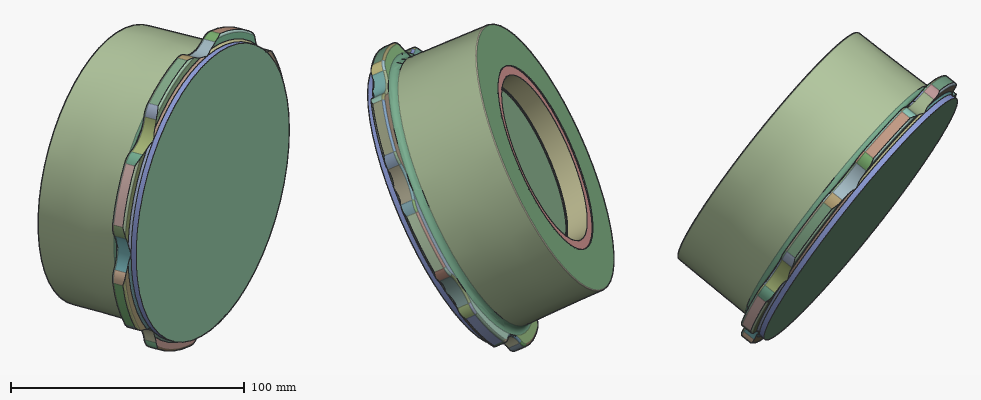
import cadquery as cq
import math

flange_front = 41.0
flange_back = 47.5
total_length = 51.0

body_front_radius = 62.0
body_draft = 0.9
body_edge_radius = 0.4
neck_fillet = 3.0
body_end = flange_front - neck_fillet
neck_start_radius = body_front_radius + body_end * math.tan(math.radians(body_draft))
neck_end_radius = neck_start_radius + neck_fillet

lobe_radius = 71.0
notch_floor_radius = 66.0
notch_arc_radius = 15.0
lobe_corner_radius = 8.0
notch_count = 8
grip_edge_radius = 1.0

rim_radius = notch_floor_radius
rim_fillet = 1.0

recess_radius = 77.0 / 2
recess_ledge_depth = 10.0
recess_rim_radius = 42.7
recess_floor_radius = 37.7
recess_step_depth = 0.5


def polar(radius, angle):
    """Point at a radius and an angle (radians) in the YZ plane."""
    return (radius * math.cos(angle), radius * math.sin(angle))


def grip_outline():
    """Lobed outline: notch arcs blended into the outer circle by rounded corners."""
    notch_centre = notch_floor_radius + notch_arc_radius
    corner_centre = lobe_radius - lobe_corner_radius
    centre_gap = notch_arc_radius + lobe_corner_radius
    corner_angle = math.acos(
        (notch_centre**2 + corner_centre**2 - centre_gap**2) / (2 * notch_centre * corner_centre)
    )
    corner_x, corner_y = polar(corner_centre, corner_angle)
    notch_share = notch_arc_radius / centre_gap
    blend_x = notch_centre + notch_share * (corner_x - notch_centre)
    blend_y = notch_share * corner_y
    blend_radius = math.hypot(blend_x, blend_y)
    blend_angle = math.atan2(blend_y, blend_x)
    inward_angle = math.atan2(blend_y - corner_y, blend_x - corner_x)
    middle_direction = (inward_angle + corner_angle) / 2
    middle_x = corner_x + lobe_corner_radius * math.cos(middle_direction)
    middle_y = corner_y + lobe_corner_radius * math.sin(middle_direction)
    middle_radius = math.hypot(middle_x, middle_y)
    middle_angle = math.atan2(middle_y, middle_x)

    pitch = 2 * math.pi / notch_count
    outline = cq.Workplane("YZ", origin=(flange_front, 0, 0)).moveTo(*polar(blend_radius, -blend_angle))
    for index in range(notch_count):
        notch = index * pitch
        following = notch + pitch
        outline = (
            outline.threePointArc(polar(notch_floor_radius, notch), polar(blend_radius, notch + blend_angle))
            .threePointArc(
                polar(middle_radius, notch + middle_angle), polar(lobe_radius, notch + corner_angle)
            )
            .threePointArc(
                polar(lobe_radius, notch + pitch / 2), polar(lobe_radius, following - corner_angle)
            )
            .threePointArc(
                polar(middle_radius, following - middle_angle),
                polar(blend_radius, following - blend_angle),
            )
        )
    return outline.close()


def turned_blank():
    """Solid of revolution about X: conical body, concave neck, full-round flange and rear rim."""
    arc_middle = math.sqrt(0.5)
    neck_middle = (
        body_end + neck_fillet * arc_middle,
        neck_end_radius - neck_fillet * arc_middle,
    )
    back_edge_middle = (
        flange_back - grip_edge_radius * (1 - arc_middle),
        lobe_radius - grip_edge_radius * (1 - arc_middle),
    )
    rim_fillet_middle = (
        flange_back + rim_fillet * (1 - arc_middle),
        rim_radius + rim_fillet * (1 - arc_middle),
    )
    blank = (
        cq.Workplane("XY")
        .lineTo(0, body_front_radius)
        .lineTo(body_end, neck_start_radius)
        .threePointArc(neck_middle, (flange_front, neck_end_radius))
        .lineTo(flange_front, lobe_radius)
        .lineTo(flange_back - grip_edge_radius, lobe_radius)
        .threePointArc(back_edge_middle, (flange_back, lobe_radius - grip_edge_radius))
        .lineTo(flange_back, rim_radius + rim_fillet)
        .threePointArc(rim_fillet_middle, (flange_back + rim_fillet, rim_radius))
        .lineTo(total_length, rim_radius)
        .lineTo(total_length, 0)
        .close()
        .revolve(360, (0, 0, 0), (1, 0, 0))
    )
    return blank.faces("<X").edges().fillet(body_edge_radius)


def grip_envelope():
    """Lobed prism with a rounded front edge, plus a plain cylinder around the body and neck."""
    lobes = grip_outline().extrude(total_length - flange_front)
    lobes = lobes.faces("<X").edges().fillet(grip_edge_radius)
    body_room = cq.Workplane("YZ").circle(neck_end_radius).extrude(flange_front + grip_edge_radius)
    return lobes.union(body_room)


def front_recess():
    """Cutter for the recess: shallow wide step, main pocket, and a slightly smaller sunken floor."""
    face = cq.Workplane("YZ")
    rim_step = face.circle(recess_rim_radius).extrude(recess_step_depth)
    pocket = face.circle(recess_radius).extrude(recess_ledge_depth)
    floor = face.circle(recess_floor_radius).extrude(recess_ledge_depth + recess_step_depth)
    return rim_step.union(pocket).union(floor)


result = turned_blank().intersect(grip_envelope()).cut(front_recess())